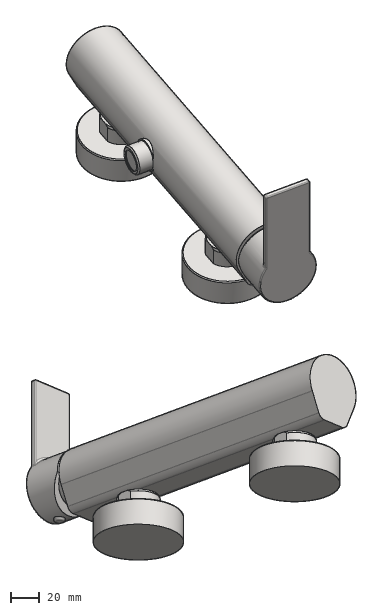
import cadquery as cq
import math

housing_length = 241.0
housing_radius = 23.5
keel_depth = 28.0
keel_tangent_drop = 9.8
keel_edge_radius = 6.3

inlet_spacing = 150.0
first_inlet_x = 37.0
inlet_neck_radius = 10.7
nut_top_z = -29.0
nut_radius = 15.43
nut_across_flats = 28.7
nut_chamfer_width = 0.8
nut_chamfer_height = 1.6
flange_radius = 31.7
flange_height = 20.0
flange_bottom_z = -63.0
flange_chamfer = 0.8
flange_top_z = flange_bottom_z + flange_height

outlet_x = first_inlet_x + inlet_spacing / 2
outlet_radius = 11.0
outlet_reach = 35.0
outlet_chamfer = 1.0
recess_radius = 8.0
recess_depth = 0.8
collar_radius = 12.0
collar_reach = 23.0

total_length = 273.0
ball_radius = 20.0
cap_gap = 2.2
cap_radius = 23.0
cap_relief_angle = 26.0
lever_thickness = 4.0
lever_width = 35.5
lever_top_z = 80.0
lever_corner_radius = 1.5
front_edge_radius = 0.8
back_edge_radius = 0.8
lever_root_radius = 1.6
plug_x = 262.5
plug_radius = 4.0
plug_protrusion = 2.2
plug_edge_radius = 1.6
cap_start_x = housing_length + cap_gap


def make_bar():
    flank_angle = math.asin(keel_tangent_drop / housing_radius)
    tangent_y = housing_radius * math.cos(flank_angle)
    keel_half_width = tangent_y - (keel_depth - keel_tangent_drop) * math.tan(flank_angle)
    bar = (
        cq.Workplane("YZ")
        .moveTo(-tangent_y, -keel_tangent_drop)
        .threePointArc((0, housing_radius), (tangent_y, -keel_tangent_drop))
        .lineTo(keel_half_width, -keel_depth)
        .lineTo(-keel_half_width, -keel_depth)
        .close()
        .extrude(housing_length)
    )
    return bar.edges("|X").edges("<Z").fillet(keel_edge_radius)


def make_inlet(x):
    flange = (
        cq.Workplane("XY", origin=(x, 0, flange_bottom_z))
        .circle(flange_radius)
        .extrude(flange_height)
        .faces(">Z")
        .chamfer(flange_chamfer)
    )
    nut_height = nut_top_z - flange_top_z
    nut = (
        cq.Workplane("XY", origin=(x, 0, flange_top_z))
        .circle(nut_radius)
        .extrude(nut_height)
        .faces(">Z")
        .edges()
        .chamfer(nut_chamfer_height, nut_chamfer_width)
    )
    flats = (
        cq.Workplane("XY", origin=(x, 0, flange_top_z))
        .rect(2 * nut_radius, nut_across_flats)
        .extrude(nut_height)
    )
    neck = cq.Workplane("XY", origin=(x, 0, nut_top_z)).circle(inlet_neck_radius).extrude(-nut_top_z)
    return flange.union(nut.intersect(flats)).union(neck)


def make_outlet():
    axis_plane = cq.Workplane("XZ", origin=(outlet_x, 0, 0))
    stub = axis_plane.circle(outlet_radius).extrude(outlet_reach)
    stub = stub.faces("<Y").edges().chamfer(outlet_chamfer)
    collar = axis_plane.circle(collar_radius).extrude(collar_reach)
    recess = (
        cq.Workplane("XZ", origin=(outlet_x, -outlet_reach, 0))
        .circle(recess_radius)
        .extrude(-recess_depth)
    )
    return stub.union(collar).cut(recess)


def make_housing():
    housing = make_bar().union(make_outlet())
    for index in range(2):
        housing = housing.union(make_inlet(first_inlet_x + index * inlet_spacing))
    return housing


def make_cap():
    relief_run = cap_radius * math.tan(math.radians(cap_relief_angle))
    side_outline = (
        cq.Workplane("XZ")
        .moveTo(cap_start_x, cap_radius)
        .lineTo(total_length, cap_radius)
        .lineTo(total_length, -cap_radius)
        .lineTo(cap_start_x + relief_run, -cap_radius)
        .lineTo(cap_start_x, 0)
        .close()
        .extrude(cap_radius, both=True)
    )
    barrel = (
        cq.Workplane("YZ", origin=(cap_start_x, 0, 0))
        .circle(cap_radius)
        .extrude(total_length - cap_start_x)
    )
    return barrel.intersect(side_outline)


def make_lever():
    return (
        cq.Workplane("XY", origin=(total_length - lever_thickness / 2, 0, 0))
        .rect(lever_thickness, lever_width)
        .extrude(lever_top_z)
        .edges("|X and >Z")
        .fillet(lever_corner_radius)
        .faces("<X")
        .edges("not <Z")
        .fillet(front_edge_radius)
    )


def make_ball():
    return (
        cq.Workplane("XY", origin=(housing_length, 0, 0))
        .lineTo(ball_radius, 0)
        .radiusArc((0, ball_radius), -ball_radius)
        .close()
        .revolve(360, (0, 0, 0), (1, 0, 0))
    )


def make_plug():
    return (
        cq.Workplane("XY", origin=(plug_x, 0, -cap_radius - plug_protrusion))
        .circle(plug_radius)
        .extrude(cap_radius)
        .faces("<Z")
        .edges()
        .fillet(plug_edge_radius)
    )


def lever_root_selector():
    near_face_x = total_length - lever_thickness
    side_root_z = math.sqrt(cap_radius**2 - (lever_width / 2) ** 2)
    return cq.selectors.BoxSelector(
        (near_face_x - lever_thickness / 2, -lever_width / 4, side_root_z),
        (near_face_x + lever_thickness / 2, lever_width / 4, cap_radius),
    )


def make_handle():
    handle = make_cap().union(make_lever())
    handle = handle.edges(lever_root_selector()).fillet(lever_root_radius)
    handle = handle.faces(">X").edges().fillet(back_edge_radius)
    return handle.union(make_ball()).union(make_plug())


housing = make_housing()
handle = make_handle()

result = cq.Compound.makeCompound([housing.val(), handle.val()])